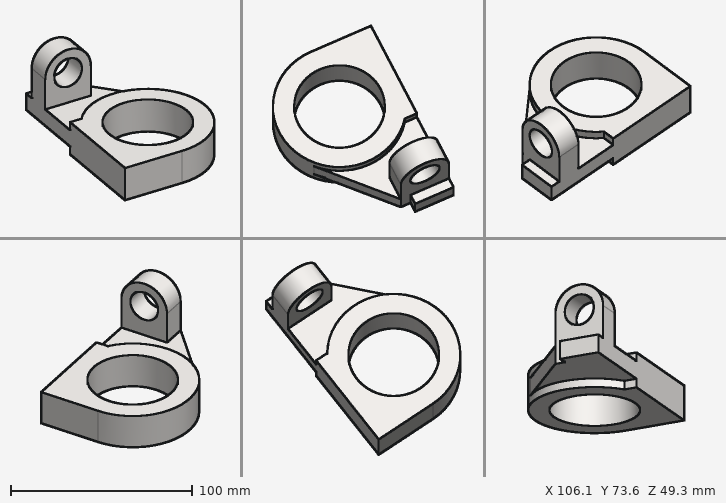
import cadquery as cq
import math

length = 106.1
ring_radius = 36.8
bore_radius = 25.0
ring_height = 20.6
foot_left = 47.1
ring_x = length - ring_radius
ring_y = ring_radius

arm_thickness = 10.5
arm_bottom = (ring_height - arm_thickness) / 2

lug_left = 5.9
lug_thickness = 14.6
lug_radius = 14.7
lug_width = 2 * lug_radius
lug_hole_radius = 8.9
total_height = 49.3
lug_axis_z = total_height - lug_radius
ledge_width = 23.5


def box(x_size, y_size, z_size, x=0, y=0, z=0):
    """Box with its lowest corner at (x, y, z)."""
    return cq.Workplane("XY").box(x_size, y_size, z_size, centered=False).translate((x, y, z))


def lug_cylinder(radius):
    """Cylinder along X on the lug axis, spanning the lug thickness."""
    return (
        cq.Workplane("YZ", origin=(lug_left, lug_radius, lug_axis_z))
        .circle(radius)
        .extrude(lug_thickness)
    )


def ring_cylinder(radius):
    return cq.Workplane("XY").center(ring_x, ring_y).circle(radius).extrude(ring_height)


def make_ring():
    foot = box(length - foot_left, ring_y, ring_height, x=foot_left)
    return ring_cylinder(ring_radius).union(foot)


def make_arm():
    dx = lug_left - ring_x
    dy = lug_width - ring_y
    corner_angle = math.atan2(dy, dx)
    tangent_angle = corner_angle - math.acos(ring_radius / math.hypot(dx, dy))
    tangent_point = (
        ring_x + ring_radius * math.cos(tangent_angle),
        ring_y + ring_radius * math.sin(tangent_angle),
    )
    plate = (
        cq.Workplane("XY", origin=(0, 0, arm_bottom))
        .moveTo(lug_left, 0)
        .lineTo(ring_x, 0)
        .lineTo(ring_x, ring_y)
        .lineTo(*tangent_point)
        .lineTo(lug_left, lug_width)
        .close()
        .extrude(arm_thickness)
    )
    ledge = box(lug_left, ledge_width, arm_thickness, z=arm_bottom)
    return plate.union(ledge)


def make_lug():
    post = box(lug_thickness, lug_width, lug_axis_z - arm_bottom, x=lug_left, z=arm_bottom)
    return post.union(lug_cylinder(lug_radius))


result = (
    make_ring()
    .union(make_arm())
    .union(make_lug())
    .cut(ring_cylinder(bore_radius))
    .cut(lug_cylinder(lug_hole_radius))
)